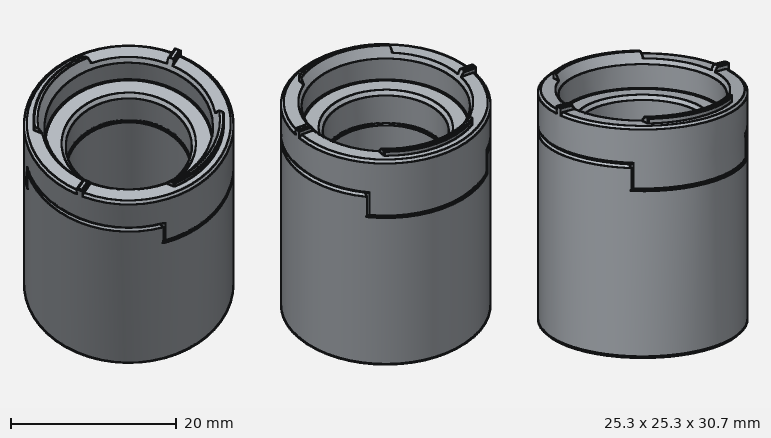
import cadquery as cq

outer_radius = 12.65
total_height = 30.65
rim_height = 0.7
edge_chamfer = 0.35

collar_face_z = total_height - rim_height
tongue_bottom_z = 21.65
tongue_height = 3.3
shoulder_z = tongue_bottom_z + tongue_height
seat_z = 26.2

channel_half_width = 8.6
tongue_clearance = 0.2
tongue_half_width = channel_half_width - tongue_clearance

base_bore_radius = 7.5
collar_bore_radius = 7.6
base_bore_chamfer = 0.25
seat_bore_chamfer = 0.5
recess_radius = 10.15
recess_corner_chamfer = 0.1
cone_top_radius = 11.0
cone_height = 1.3

lip_outer_radius = 11.5
lip_edge_chamfer = 0.12
lip_half_length = 6.35
rib_width = 0.8
rib_edge_chamfer = 0.15
rib_end_chamfer = 0.1

oversize = 4 * outer_radius


def cylinder(radius, bottom_z, top_z):
    return cq.Workplane("XY").workplane(offset=bottom_z).circle(radius).extrude(top_z - bottom_z)


def block_along_x(half_width, bottom_z, top_z):
    """Block centred on the axis, wide enough in X to cross the whole part."""
    return (
        cq.Workplane("XY")
        .workplane(offset=bottom_z)
        .rect(oversize, 2 * half_width)
        .extrude(top_z - bottom_z)
    )


def chamfered_cylinder(radius, bottom_z, top_z):
    return cylinder(radius, bottom_z, top_z).faces("<Z or >Z").chamfer(edge_chamfer)


def make_base():
    """Tube with a channel across its top for the collar tongue."""
    tube = chamfered_cylinder(outer_radius, 0, shoulder_z)
    channel = block_along_x(channel_half_width, tongue_bottom_z, total_height)
    bore = cylinder(base_bore_radius, 0, total_height)
    tube = tube.cut(channel).cut(bore)

    bore_entry = cq.Workplane("XY").add(
        cq.Solid.makeCone(
            base_bore_radius,
            base_bore_radius + base_bore_chamfer,
            base_bore_chamfer,
            pnt=cq.Vector(0, 0, tongue_bottom_z - base_bore_chamfer),
        )
    )
    return tube.cut(bore_entry)


def collar_opening():
    """Revolved inside of the collar: bore, seat, recess and entry cone."""
    return (
        cq.Workplane("XZ")
        .moveTo(0, tongue_bottom_z)
        .lineTo(collar_bore_radius, tongue_bottom_z)
        .lineTo(collar_bore_radius, seat_z - seat_bore_chamfer)
        .lineTo(collar_bore_radius + seat_bore_chamfer, seat_z)
        .lineTo(recess_radius - recess_corner_chamfer, seat_z)
        .lineTo(recess_radius, seat_z + recess_corner_chamfer)
        .lineTo(recess_radius, total_height - cone_height)
        .lineTo(cone_top_radius, total_height)
        .lineTo(0, total_height)
        .close()
        .revolve(360, (0, 0, 0), (0, 1, 0))
    )


def make_lips():
    """Disc trimmed to its X sides; the opening leaves two opposite arcs on the collar face."""
    disc = cylinder(lip_outer_radius, collar_face_z, total_height)
    lips = disc.intersect(block_along_x(lip_half_length, collar_face_z, total_height))
    return lips.edges("(%CIRCLE and >Z) or |Z").chamfer(lip_edge_chamfer)


def make_ribs():
    """Bar along Y with eased top edges; the opening splits it into two ribs."""
    rib_bottom_z = collar_face_z - edge_chamfer
    bar = (
        cq.Workplane("XY")
        .workplane(offset=rib_bottom_z)
        .rect(rib_width, oversize)
        .extrude(total_height - rib_bottom_z)
        .edges("|Y and >Z")
        .chamfer(rib_edge_chamfer)
    )
    end_trim = cylinder(outer_radius, rib_bottom_z, total_height).faces(">Z").chamfer(rib_end_chamfer)
    return bar.intersect(end_trim)


def make_collar():
    """Ring with a tongue below it, and lips and ribs on its top face."""
    ring = chamfered_cylinder(outer_radius, shoulder_z, collar_face_z)
    tongue = chamfered_cylinder(outer_radius, tongue_bottom_z, collar_face_z)
    tongue = tongue.intersect(block_along_x(tongue_half_width, tongue_bottom_z, collar_face_z))
    collar = ring.union(tongue).union(make_lips()).union(make_ribs())
    return collar.cut(collar_opening())


base = make_base()
collar = make_collar()
result = cq.Compound.makeCompound([base.val(), collar.val()])